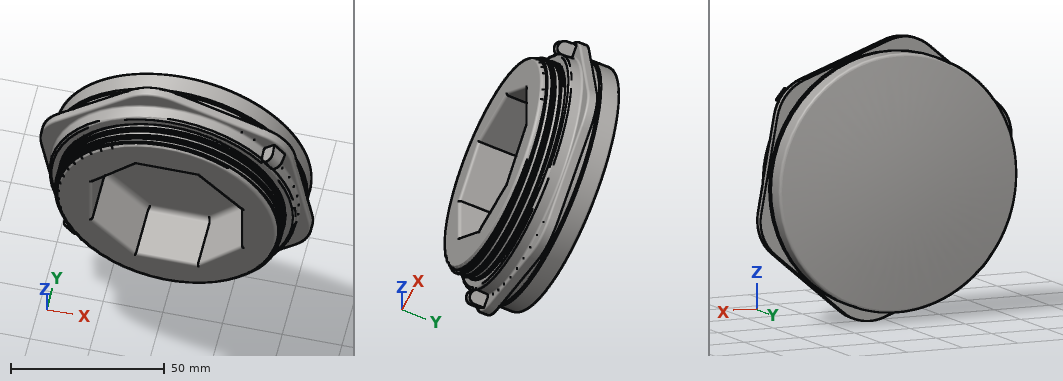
import cadquery as cq
import math


PLUG_LENGTH = 28.7
CAP_START = 18.9
CAP_EDGE = 25.5
CAP_DIAMETER = 85.9
CAP_EDGE_FILLET = 1.0
NECK_DIAMETER = 82.8

THREAD_MAJOR_DIAMETER = 76.0
THREAD_MINOR_DIAMETER = 73.9
THREAD_PITCH = 3.0
CREST_WIDTH = 0.7
FLANK_WIDTH = 0.5
FLANK_DEPTH = 0.4
GROOVE_START = -0.4
GROOVE_TURNS = 3
GROOVE_OVERSHOOT = 0.2
LEAD_DIAMETER = THREAD_MINOR_DIAMETER
LEAD_LENGTH = 1.8
LEAD_FILLET = 1.0

SOCKET_SIDES = 8
SOCKET_ACROSS_FLATS = 50.0
SOCKET_DEPTH = 19.25
SOCKET_MOUTH_FILLET = 1.0
SOCKET_FLOOR_FILLET = 2.0

SEAL_DIAMETER = 85.1
SEAL_LENGTH = 2.3
SEAL_FILLET = 0.6

PLATE_START = 12.9
PLATE_END = 16.2
PLATE_SIDES = 6
PLATE_ACROSS_FLATS = CAP_DIAMETER
PLATE_CORNER_RADIUS = 14.95
PLATE_TURN = 40.4
COLLAR_START = 8.1
COLLAR_BASE_DIAMETER = NECK_DIAMETER
COLLAR_FRONT_DIAMETER = 82.4
NUT_FILLET = 0.75

LUG_COUNT = 2
LUG_MIDDLE_RADIUS = 43.5
LUG_THICKNESS = 4.9
LUG_BASE_WIDTH = 5.5
LUG_NOSE_WIDTH = 4.3
LUG_FRONT = 7.2

SHAFT_RADIUS = THREAD_MAJOR_DIAMETER / 2


def revolve_about_axis(profile):
    """Turn a closed (radius, axial) profile fully around the Y axis."""
    return profile.close().revolve(360, (0, 0, 0), (0, 1, 0))


def tube(outer_diameter, start, end):
    """Ring that fits closely around the plug's shaft."""
    return revolve_about_axis(
        cq.Workplane("XY")
        .moveTo(SHAFT_RADIUS, start)
        .lineTo(outer_diameter / 2, start)
        .lineTo(outer_diameter / 2, end)
        .lineTo(SHAFT_RADIUS, end)
    )


def prism(sides, across_flats, start, end, turn):
    """Regular prism along Y; turn is the angle in degrees from +X towards +Z of one corner."""
    across_corners = across_flats / math.cos(math.pi / sides)
    return (
        cq.Workplane("XZ", origin=(0, start, 0))
        .transformed(rotate=(0, 0, turn))
        .polygon(sides, across_corners)
        .extrude(start - end)
    )


def make_plug_blank():
    """Lead-in, shaft, neck and domed cap turned as one piece."""
    lead_radius = LEAD_DIAMETER / 2
    neck_radius = NECK_DIAMETER / 2
    cap_radius = CAP_DIAMETER / 2
    dome_rise = PLUG_LENGTH - CAP_EDGE
    dome_radius = (cap_radius**2 + dome_rise**2) / (2 * dome_rise)
    mid_radius = cap_radius / 2
    mid_height = PLUG_LENGTH - dome_radius + math.sqrt(dome_radius**2 - mid_radius**2)
    blank = revolve_about_axis(
        cq.Workplane("XY")
        .moveTo(0, 0)
        .lineTo(lead_radius, 0)
        .lineTo(lead_radius, LEAD_LENGTH)
        .lineTo(SHAFT_RADIUS, LEAD_LENGTH)
        .lineTo(SHAFT_RADIUS, PLATE_END + SEAL_LENGTH)
        .lineTo(neck_radius, PLATE_END + SEAL_LENGTH)
        .lineTo(neck_radius, CAP_START)
        .lineTo(cap_radius, CAP_START)
        .lineTo(cap_radius, CAP_EDGE)
        .threePointArc((mid_radius, mid_height), (0, PLUG_LENGTH))
    )
    rim = blank.edges(cq.selectors.RadiusNthSelector(-2)).edges(">Y")
    blank = rim.fillet(CAP_EDGE_FILLET)
    return blank.faces("<Y").edges().fillet(LEAD_FILLET)


def make_thread_groove():
    """Right-handed round-bottomed helical groove that leaves narrow flat crests."""
    root_radius = THREAD_MINOR_DIAMETER / 2
    outside = SHAFT_RADIUS + GROOVE_OVERSHOOT
    flank_end = SHAFT_RADIUS - FLANK_DEPTH
    half_crest_gap = (THREAD_PITCH - CREST_WIDTH) / 2
    half_root = half_crest_gap - FLANK_WIDTH
    half_outside = half_crest_gap + FLANK_WIDTH * GROOVE_OVERSHOOT / FLANK_DEPTH
    helix = cq.Wire.makeHelix(THREAD_PITCH, THREAD_PITCH * GROOVE_TURNS, SHAFT_RADIUS)
    groove = (
        cq.Workplane("XZ")
        .moveTo(outside, -half_outside)
        .lineTo(flank_end, -half_root)
        .threePointArc((root_radius, 0), (flank_end, half_root))
        .lineTo(outside, half_outside)
        .close()
        .sweep(cq.Workplane(helix), isFrenet=True)
    )
    return groove.rotate((0, 0, 0), (1, 0, 0), -90).translate((0, GROOVE_START, 0))


def cut_socket(plug):
    """Octagonal socket with rounded mouth and floor edges and sharp corners."""
    corner_turn = 180 / SOCKET_SIDES
    socket = prism(SOCKET_SIDES, SOCKET_ACROSS_FLATS, 0, SOCKET_DEPTH, corner_turn)
    socket = socket.faces(">Y").edges().fillet(SOCKET_FLOOR_FILLET)
    plug = plug.cut(socket)
    return plug.faces("<Y").edges("%LINE").fillet(SOCKET_MOUTH_FILLET)


def make_plug():
    return cut_socket(make_plug_blank()).cut(make_thread_groove())


def make_seal():
    seal = tube(SEAL_DIAMETER, PLATE_END, PLATE_END + SEAL_LENGTH)
    return seal.edges(cq.selectors.RadiusNthSelector(-1)).fillet(SEAL_FILLET)


def make_plate():
    """Hexagonal plate with large corner rounds and a rounded front edge."""
    plate = prism(PLATE_SIDES, PLATE_ACROSS_FLATS, PLATE_START, PLATE_END, PLATE_TURN)
    plate = plate.edges("|Y").fillet(PLATE_CORNER_RADIUS)
    return plate.faces("<Y").edges().fillet(NUT_FILLET)


def make_collar():
    """Slightly tapered collar with a rounded front edge, flared where it meets the plate."""
    base_radius = COLLAR_BASE_DIAMETER / 2
    front_radius = COLLAR_FRONT_DIAMETER / 2
    arc_inset = NUT_FILLET * (1 - math.sqrt(0.5))
    return revolve_about_axis(
        cq.Workplane("XY")
        .moveTo(0, COLLAR_START)
        .lineTo(front_radius - NUT_FILLET, COLLAR_START)
        .threePointArc(
            (front_radius - arc_inset, COLLAR_START + arc_inset),
            (front_radius, COLLAR_START + NUT_FILLET),
        )
        .lineTo(base_radius, PLATE_START - NUT_FILLET)
        .threePointArc(
            (base_radius + arc_inset, PLATE_START - arc_inset),
            (base_radius + NUT_FILLET, PLATE_START),
        )
        .lineTo(base_radius, PLATE_END)
        .lineTo(0, PLATE_END)
    )


def make_lug(angle):
    """Lug with a half-round nose and drafted sides; angle runs from +X towards +Z."""
    half_thickness = LUG_THICKNESS / 2
    inner_radius = LUG_MIDDLE_RADIUS - half_thickness
    outer_radius = LUG_MIDDLE_RADIUS + half_thickness
    nose_middle = LUG_FRONT + half_thickness
    rounded = (
        cq.Workplane("XY")
        .moveTo(inner_radius, PLATE_END)
        .lineTo(inner_radius, nose_middle)
        .threePointArc((LUG_MIDDLE_RADIUS, LUG_FRONT), (outer_radius, nose_middle))
        .lineTo(outer_radius, PLATE_END)
        .close()
        .extrude(LUG_BASE_WIDTH, both=True)
    )
    half_base = LUG_BASE_WIDTH / 2
    half_nose = LUG_NOSE_WIDTH / 2
    drafted = (
        cq.Workplane("ZY")
        .polyline(
            [
                (-half_base, PLATE_END),
                (-half_base, PLATE_START),
                (-half_nose, LUG_FRONT),
                (half_nose, LUG_FRONT),
                (half_base, PLATE_START),
                (half_base, PLATE_END),
            ]
        )
        .close()
        .extrude(-PLATE_ACROSS_FLATS)
    )
    return rounded.intersect(drafted).rotate((0, 0, 0), (0, 1, 0), -angle)


def make_nut():
    nut = make_plate().union(make_collar())
    for index in range(LUG_COUNT):
        nut = nut.union(make_lug(PLATE_TURN + index * 360 / LUG_COUNT))
    bore = cq.Workplane("XZ").circle(SHAFT_RADIUS).extrude(-PLUG_LENGTH)
    return nut.cut(bore)


plug = make_plug()
seal = make_seal()
nut = make_nut()

result = cq.Compound.makeCompound([plug.val(), seal.val(), nut.val()])